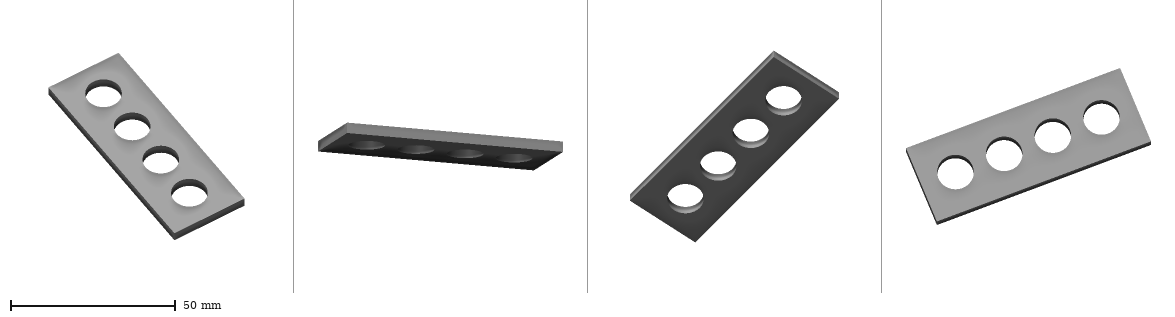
import cadquery as cq

plate_length = 69.85
plate_width = 25.4
plate_thickness = 3.25

hole_count = 4
hole_diameter = 11.11
hole_pitch = 15.875


def make_plate():
    """Rectangular plate centred on the origin."""
    return cq.Workplane("XY").box(plate_length, plate_width, plate_thickness)


def cut_hole_row(plate):
    """Cut the evenly spaced through holes, centred along X."""
    return (
        plate.faces(">Z")
        .workplane()
        .rarray(hole_pitch, plate_width, hole_count, 1)
        .hole(hole_diameter)
    )


result = cut_hole_row(make_plate())